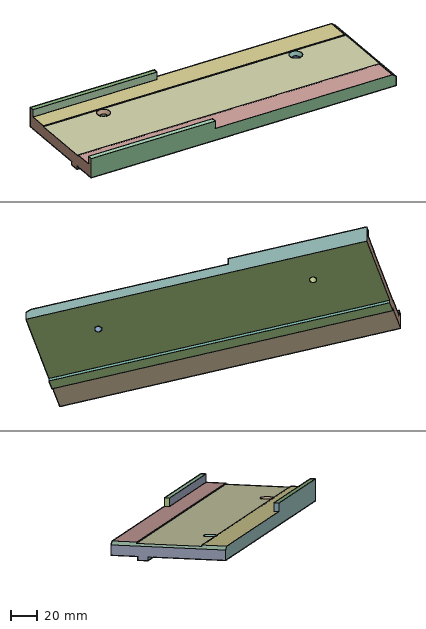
import cadquery as cq

length = 270.0
width = 90.0
height = 20.0

rail_width = 4.0
rail_height = 6.5
rail_length = 110.0

key_width = 8.0
key_height = 3.0
key_offset = 20.0

recess_width = 51.0
recess_depth = 0.8

bevel_length = 3.5
bevel_drop = 2.5

hole_diameter = 5.5
countersink_diameter = 10.5
countersink_angle = 90
hole_offset = -20.0
hole_end_distance = 50.0

plate_top = height - rail_height
plate_thickness = plate_top - key_height
front_end = -length / 2


def bar(bar_width, bar_length, bar_height, center_x, bottom):
    """Block along Y that starts at the -Y end of the part."""
    block = cq.Workplane("XY").box(bar_width, bar_length, bar_height, centered=(True, False, False))
    return block.translate((center_x, front_end, bottom))


plate = bar(width, length, plate_thickness, 0, key_height)
bevel_start = plate_top - bevel_drop
bevel_waste = (
    cq.Workplane("YZ")
    .polyline([
        (length / 2, bevel_start),
        (length / 2, plate_top),
        (length / 2 - bevel_length, plate_top),
    ])
    .close()
    .extrude(width / 2, both=True)
)
plate = plate.cut(bevel_waste)

recess_floor = plate_top - recess_depth
plate = plate.cut(bar(recess_width, length, recess_depth, 0, recess_floor))

hole_y = length / 2 - hole_end_distance
plate = (
    plate.copyWorkplane(cq.Workplane("XY", origin=(0, 0, recess_floor)))
    .pushPoints([(hole_offset, -hole_y), (hole_offset, hole_y)])
    .cskHole(hole_diameter, countersink_diameter, countersink_angle)
)

result = plate.union(bar(key_width, length, key_height, key_offset, 0))
for side in (-1, 1):
    rail_x = side * (width - rail_width) / 2
    result = result.union(bar(rail_width, rail_length, height - key_height, rail_x, key_height))